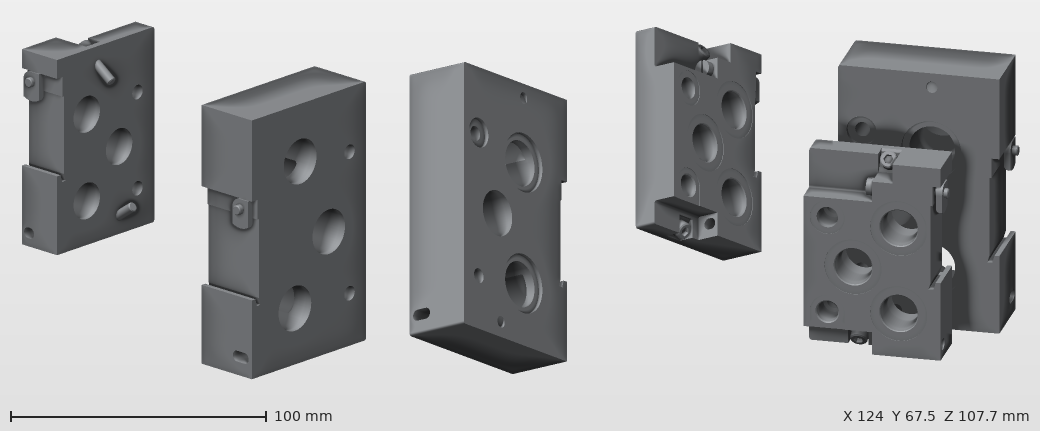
import cadquery as cq
import math

TOP_Z = 107.0
SMALL_WIDTH = 19.0
SMALL_DEPTH = 55.2
SMALL_BOTTOM_Z = 26.3
LARGE_WIDTH = 27.0
LARGE_DEPTH = 64.9
LARGE_X = 124 - LARGE_WIDTH
BACK_FILLET = 1.0

SMALL_GROOVE_TOP_Z = 99.2
LARGE_GROOVE_TOP_Z = 73.4
SHELF_HEIGHT = 8.2
LIP_HEIGHT = 32.6
UNDERCUT_HEIGHT = 3.0
SHELF_DEPTH = 3.2
GROOVE_DEPTH = 4.0
LIP_THICKNESS = 2.0
UNDERCUT = 0.9

SLOT_HEIGHT = 4.5
SMALL_SLOT_X = (1.2, 6.6)
SMALL_SLOT_Z = 31.9
LARGE_SLOT_X = (113.8, 122.3)
LARGE_SLOT_Z = 7.7

PORT_Z = 62.43
SMALL_PORT_PITCH = 35.8
SMALL_PORT_Y = 16.9
SMALL_MIDDLE_PORT_Y = 35.2
SMALL_PORT_DIAMETER = 15.0
SMALL_PORT_CHAMFER = 0.4
SMALL_RING_DIAMETER = 23.0
SMALL_RING_DEPTH = 0.2
PILOT_Y = 45.6
PILOT_PITCH = 39.8
PILOT_DIAMETER = 8.5
PILOT_END_DIAMETER = 6.0
PILOT_CONE_START = 11.2
PILOT_CONE_LENGTH = 0.7
PILOT_RING_DIAMETER = 14.0
PILOT_CHAMFER = 0.5
STEP_Y = 27.5
STEP_DEPTH = 9.5
UPPER_STEP_Z = 90.5
LOWER_STEP_Z = 35.7
STEP_FILLET = 0.9

SCREW_ANGLE = math.radians(35)
SCREW_HEAD_DIAMETER = 7.0
SCREW_HEAD_LENGTH = 4.0
SCREW_HEAD_CHAMFER = 0.5
SCREW_DIAMETER = 4.0
SCREW_LENGTH = 20.0
SCREW_TIP_CHAMFER = 0.4
SCREW_FACE_X = 9.9
SCREW_FACE_INSET = 1.9
SOCKET_WIDTH = 4.0
SOCKET_DEPTH = 2.0
UPPER_SCREW_Y = 23.4
LOWER_SCREW_Y = 35.5
SCREW_MIRROR_Z = 66.5
RECESS_WIDTH = 8.2
RECESS_HEIGHT = 7.9

LARGE_PORT_Y = 27.4
LARGE_MIDDLE_PORT_Y = 43.6
LARGE_PORT_DIAMETER = 18.5
LARGE_PORT_DEPTH = 17.9
LARGE_PORT_FILLET = 1.7
LARGE_RING_DIAMETER = 24.0
LARGE_RING_DEPTH = 1.7
UPPER_PORT_Z = 74.8
MIDDLE_PORT_Z = 50.1
LOWER_PORT_Z = 25.3
REAR_PORT_DIAMETER = 18.6
REAR_PORT_DEPTH = 21.3
UPPER_REAR_PORT = (27.4, 83.2)
LOWER_REAR_PORT = (24.4, 23.2)
FIXING_Y = 55.4
FIXING_DIAMETER = 6.0
UPPER_FIXING_Z = 80.2
LOWER_FIXING_Z = 21.7
FIXING_RING_DIAMETER = 12.0
TIP_SOCKET_DIAMETER = 4.5
TIP_SOCKET_DEPTH = 0.9
TIP_SOCKET_ANGLE = math.radians(20)
UPPER_TIP_Y = 27.2
UPPER_TIP_Z = 101.2
LOWER_TIP_Y = 41.4
LOWER_TIP_Z = 6.2

CLIP_WIDTH = 8.3
CLIP_TOP_GAP = 0.2
CLIP_HEIGHT = 12.0
CLIP_BULGE = 1.1
CLIP_CORNER = 3.7
CLIP_FRONT_Y = -0.4
CLIP_BACK_Y = 2.2
CLIP_BACK_CHAMFER = 0.9
CLIP_SCREW_DROP = 4.1
CLIP_SCREW_DIAMETER = 4.0
CLIP_SCREW_TIP_CHAMFER = 0.4
CLIP_SCREW_HEAD_DIAMETER = 7.0
CLIP_SCREW_HEAD_LENGTH = 3.1
CLIP_SCREW_SLOT_WIDTH = 1.0
CLIP_SCREW_SLOT_DEPTH = 1.9
SMALL_CLIP_X = 5.3
SMALL_CLIP_SCREW_TIP_Y = -2.1
LARGE_CLIP_X = 118.0
LARGE_CLIP_SCREW_TIP_Y = -2.6
LARGE_CLIP_SCREW_END_Y = 12.4


def x_bore(x, y, z, diameter, depth):
    """Cylinder running toward +X from the given centre point."""
    return cq.Workplane("YZ", origin=(x, y, z)).circle(diameter / 2).extrude(depth)


def x_cone(x, y, z, start_diameter, end_diameter, length):
    """Cone running toward +X from the given centre point."""
    solid = cq.Solid.makeCone(
        start_diameter / 2, end_diameter / 2, length, cq.Vector(x, y, z), cq.Vector(1, 0, 0)
    )
    return cq.Workplane(solid)


def y_bore(x, y, z, diameter, depth):
    """Cylinder running toward +Y from the given centre point."""
    return cq.Workplane("XZ", origin=(x, y, z)).circle(diameter / 2).extrude(-depth)


def front_groove(x, width, bottom_z, top_z):
    """Stepped label groove across the front face, undercut behind a lip at its lower end."""
    step_z = top_z - SHELF_HEIGHT
    lip_z = bottom_z + LIP_HEIGHT
    groove_bottom_z = lip_z - UNDERCUT_HEIGHT
    points = [
        (0, top_z),
        (SHELF_DEPTH, top_z),
        (SHELF_DEPTH, step_z),
        (GROOVE_DEPTH, step_z),
        (GROOVE_DEPTH, lip_z),
        (GROOVE_DEPTH + UNDERCUT, groove_bottom_z),
        (LIP_THICKNESS + UNDERCUT, groove_bottom_z),
        (LIP_THICKNESS, lip_z),
        (0, lip_z),
    ]
    return cq.Workplane("YZ", origin=(x, 0, 0)).polyline(points).close().extrude(width)


def front_slot(x_ends, z, depth):
    """Round-ended slot through the block along Y."""
    x_start, x_end = x_ends
    centre_x = (x_start + x_end) / 2
    profile = cq.Workplane("XZ", origin=(centre_x, 0, z)).slot2D(x_end - x_start, SLOT_HEIGHT)
    return profile.extrude(-depth)


def plain_block(x, bottom_z, width, depth):
    """Rectangular block with its two long back edges rounded."""
    block = cq.Workplane("XY", origin=(x, 0, bottom_z)).box(
        width, depth, TOP_Z - bottom_z, centered=False
    )
    return block.faces(">Y").edges("|X").fillet(BACK_FILLET)


def mirror_lower(body):
    """Reflects an upper screw shape to the lower end of the small block."""
    return body.mirror("XY", (0, 0, SCREW_MIRROR_Z))


def screw_plane(y):
    """Plane on the outer face of the upper screw head, its normal pointing to the tip."""
    return cq.Plane(
        origin=(SCREW_FACE_X, y, TOP_Z - SCREW_FACE_INSET),
        xDir=(0, 1, 0),
        normal=(math.cos(SCREW_ANGLE), 0, -math.sin(SCREW_ANGLE)),
    )


def captive_screw(y):
    """Inclined socket-head screw in its upper position."""
    plane = screw_plane(y)
    head = (
        cq.Workplane(plane)
        .circle(SCREW_HEAD_DIAMETER / 2)
        .extrude(SCREW_HEAD_LENGTH)
        .faces(cq.selectors.DirectionMinMaxSelector(plane.zDir, False))
        .chamfer(SCREW_HEAD_CHAMFER)
    )
    shank = (
        cq.Workplane(plane)
        .circle(SCREW_DIAMETER / 2)
        .extrude(SCREW_LENGTH)
        .faces(cq.selectors.DirectionMinMaxSelector(plane.zDir, True))
        .chamfer(SCREW_TIP_CHAMFER)
    )
    socket = cq.Workplane(plane).polygon(6, SOCKET_WIDTH).extrude(SOCKET_DEPTH)
    return head.union(shank).cut(socket)


def captive_screw_recess(y):
    """Recess for the upper screw: level floor, inclined seat under the head, and the shank hole."""
    seat_x = SCREW_FACE_X + SCREW_HEAD_LENGTH * math.cos(SCREW_ANGLE)
    seat_z = TOP_Z - SCREW_FACE_INSET - SCREW_HEAD_LENGTH * math.sin(SCREW_ANGLE)
    floor_z = TOP_Z - RECESS_HEIGHT
    slope = math.tan(SCREW_ANGLE)
    points = [
        (0, floor_z),
        (seat_x + (floor_z - seat_z) * slope, floor_z),
        (seat_x + (TOP_Z - seat_z) * slope, TOP_Z),
        (0, TOP_Z),
    ]
    pocket = (
        cq.Workplane("XZ", origin=(0, y + RECESS_WIDTH / 2, 0))
        .polyline(points)
        .close()
        .extrude(RECESS_WIDTH)
    )
    hole = cq.Workplane(screw_plane(y)).circle(SCREW_DIAMETER / 2).extrude(2 * SCREW_LENGTH)
    return pocket.union(hole)


def step_cut(z_start, z_end, root_edge):
    """Corner cut in the -X face, with a fillet where its wall meets its floor."""
    return (
        cq.Workplane("XY", origin=(0, STEP_Y, z_start))
        .box(STEP_DEPTH, SMALL_DEPTH - STEP_Y, z_end - z_start, centered=False)
        .edges(root_edge)
        .fillet(STEP_FILLET)
    )


def small_port(y, z):
    """Through port with a chamfered mouth and a shallow seal ring."""
    bore = x_bore(0, y, z, SMALL_PORT_DIAMETER, SMALL_WIDTH)
    ring = x_bore(0, y, z, SMALL_RING_DIAMETER, SMALL_RING_DEPTH)
    mouth_diameter = SMALL_PORT_DIAMETER + 2 * SMALL_PORT_CHAMFER
    mouth = x_cone(SMALL_RING_DEPTH, y, z, mouth_diameter, SMALL_PORT_DIAMETER, SMALL_PORT_CHAMFER)
    return bore.union(ring).union(mouth)


def pilot_hole(z):
    """Through hole that narrows by a cone, with a shallow seal ring."""
    cone_end = PILOT_CONE_START + PILOT_CONE_LENGTH
    entry = x_bore(0, PILOT_Y, z, PILOT_DIAMETER, PILOT_CONE_START)
    cone = x_cone(PILOT_CONE_START, PILOT_Y, z, PILOT_DIAMETER, PILOT_END_DIAMETER, PILOT_CONE_LENGTH)
    end = x_bore(cone_end, PILOT_Y, z, PILOT_END_DIAMETER, SMALL_WIDTH - cone_end)
    ring = x_bore(0, PILOT_Y, z, PILOT_RING_DIAMETER, SMALL_RING_DEPTH)
    return entry.union(cone).union(end).union(ring)


def lower_pilot_relief(z):
    """Chamfered mouth of the lower pilot hole, and its seal ring continued down to the lower step."""
    mouth_diameter = PILOT_DIAMETER + 2 * PILOT_CHAMFER
    mouth = x_cone(SMALL_RING_DEPTH, PILOT_Y, z, mouth_diameter, PILOT_DIAMETER, PILOT_CHAMFER)
    channel = cq.Workplane("XY", origin=(0, PILOT_Y - PILOT_RING_DIAMETER / 2, SMALL_BOTTOM_Z)).box(
        SMALL_RING_DEPTH, PILOT_RING_DIAMETER, z - SMALL_BOTTOM_Z, centered=False
    )
    return mouth.union(channel)


def clip_screw_z(groove_top_z):
    """Height of the clip screw axis below the top of the groove."""
    return groove_top_z - CLIP_TOP_GAP - CLIP_SCREW_DROP


def make_small_block():
    clip_z = clip_screw_z(SMALL_GROOVE_TOP_Z)
    upper_pilot_z = PORT_Z + PILOT_PITCH / 2
    lower_pilot_z = PORT_Z - PILOT_PITCH / 2
    cuts = [
        step_cut(UPPER_STEP_Z, TOP_Z, ">X and <Z"),
        step_cut(SMALL_BOTTOM_Z, LOWER_STEP_Z, ">X and >Z"),
        front_groove(0, SMALL_WIDTH, SMALL_BOTTOM_Z, SMALL_GROOVE_TOP_Z),
        front_slot(SMALL_SLOT_X, SMALL_SLOT_Z, SMALL_DEPTH),
        small_port(SMALL_PORT_Y, PORT_Z + SMALL_PORT_PITCH / 2),
        small_port(SMALL_MIDDLE_PORT_Y, PORT_Z),
        small_port(SMALL_PORT_Y, PORT_Z - SMALL_PORT_PITCH / 2),
        pilot_hole(upper_pilot_z),
        pilot_hole(lower_pilot_z),
        lower_pilot_relief(lower_pilot_z),
        captive_screw_recess(UPPER_SCREW_Y),
        mirror_lower(captive_screw_recess(LOWER_SCREW_Y)),
        y_bore(SMALL_CLIP_X, 0, clip_z, CLIP_SCREW_DIAMETER, STEP_Y),
    ]
    block = plain_block(0, SMALL_BOTTOM_Z, SMALL_WIDTH, SMALL_DEPTH)
    for cut in cuts:
        block = block.cut(cut)
    return block


def blind_port(z):
    """Blind port with a rounded bottom edge and a seal ring."""
    bore = x_bore(LARGE_X, LARGE_PORT_Y, z, LARGE_PORT_DIAMETER, LARGE_PORT_DEPTH)
    bore = bore.faces(">X").edges().fillet(LARGE_PORT_FILLET)
    ring = x_bore(LARGE_X, LARGE_PORT_Y, z, LARGE_RING_DIAMETER, LARGE_RING_DEPTH)
    return bore.union(ring)


def rear_port(centre):
    """Flat-bottomed port from the +X face, offset so that it breaks into a blind port."""
    y, z = centre
    return x_bore(LARGE_X + LARGE_WIDTH - REAR_PORT_DEPTH, y, z, REAR_PORT_DIAMETER, REAR_PORT_DEPTH)


def tip_socket(y, z, rise):
    """Shallow inclined socket in the -X face; rise is +1 to slope upward and -1 downward."""
    plane = cq.Plane(
        origin=(LARGE_X, y, z),
        xDir=(0, 1, 0),
        normal=(math.cos(TIP_SOCKET_ANGLE), 0, rise * math.sin(TIP_SOCKET_ANGLE)),
    )
    return cq.Workplane(plane).circle(TIP_SOCKET_DIAMETER / 2).extrude(TIP_SOCKET_DEPTH, both=True)


def make_large_block():
    clip_z = clip_screw_z(LARGE_GROOVE_TOP_Z)
    cuts = [
        front_groove(LARGE_X, LARGE_WIDTH, 0, LARGE_GROOVE_TOP_Z),
        front_slot(LARGE_SLOT_X, LARGE_SLOT_Z, LARGE_DEPTH),
        blind_port(UPPER_PORT_Z),
        blind_port(LOWER_PORT_Z),
        rear_port(UPPER_REAR_PORT),
        rear_port(LOWER_REAR_PORT),
        x_bore(LARGE_X, LARGE_MIDDLE_PORT_Y, MIDDLE_PORT_Z, LARGE_PORT_DIAMETER, LARGE_WIDTH),
        x_bore(LARGE_X, FIXING_Y, UPPER_FIXING_Z, FIXING_DIAMETER, LARGE_WIDTH),
        x_bore(LARGE_X, FIXING_Y, LOWER_FIXING_Z, FIXING_DIAMETER, LARGE_WIDTH),
        x_bore(LARGE_X, FIXING_Y, UPPER_FIXING_Z, FIXING_RING_DIAMETER, LARGE_RING_DEPTH),
        tip_socket(UPPER_TIP_Y, UPPER_TIP_Z, -1),
        tip_socket(LOWER_TIP_Y, LOWER_TIP_Z, 1),
        y_bore(LARGE_CLIP_X, 0, clip_z, CLIP_SCREW_DIAMETER, LARGE_CLIP_SCREW_END_Y),
    ]
    block = plain_block(LARGE_X, 0, LARGE_WIDTH, LARGE_DEPTH)
    for cut in cuts:
        block = block.cut(cut)
    return block


def make_clip(x, groove_top_z):
    """Retaining plate with one rounded top corner, a bowed lower edge and a screw hole."""
    half = CLIP_WIDTH / 2
    side_bottom = CLIP_BULGE - CLIP_HEIGHT
    thickness = CLIP_BACK_Y - CLIP_FRONT_Y
    corner_inset = CLIP_CORNER * (1 - math.sqrt(0.5))
    plate = (
        cq.Workplane("XZ", origin=(x, CLIP_FRONT_Y, groove_top_z - CLIP_TOP_GAP))
        .moveTo(half, 0)
        .lineTo(half, side_bottom)
        .threePointArc((0, -CLIP_HEIGHT), (-half, side_bottom))
        .lineTo(-half, -CLIP_CORNER)
        .threePointArc((corner_inset - half, -corner_inset), (CLIP_CORNER - half, 0))
        .close()
        .extrude(-thickness)
    )
    plate = plate.faces(">Y").edges("<Z").chamfer(CLIP_BACK_CHAMFER)
    hole = y_bore(x, CLIP_FRONT_Y, clip_screw_z(groove_top_z), CLIP_SCREW_DIAMETER, thickness)
    return plate.cut(hole)


def make_clip_screw(x, z, tip_y, end_y):
    """Straight shank along Y with a chamfered tip at the front."""
    shank = y_bore(x, tip_y, z, CLIP_SCREW_DIAMETER, end_y - tip_y)
    return shank.faces("<Y").chamfer(CLIP_SCREW_TIP_CHAMFER)


def slotted_head(x, y, z):
    """Round screw head running toward +Y, with a driver slot across its end."""
    head = y_bore(x, y, z, CLIP_SCREW_HEAD_DIAMETER, CLIP_SCREW_HEAD_LENGTH)
    slot_y = y + CLIP_SCREW_HEAD_LENGTH - CLIP_SCREW_SLOT_DEPTH / 2
    slot = cq.Workplane("XY", origin=(x, slot_y, z)).box(
        CLIP_SCREW_SLOT_WIDTH, CLIP_SCREW_SLOT_DEPTH, CLIP_SCREW_HEAD_DIAMETER
    )
    return head.cut(slot)


small_block = make_small_block()
large_block = make_large_block()
captive_screws = [
    captive_screw(UPPER_SCREW_Y),
    mirror_lower(captive_screw(LOWER_SCREW_Y)),
]

clips = []
for clip_x, groove_top_z in ((SMALL_CLIP_X, SMALL_GROOVE_TOP_Z), (LARGE_CLIP_X, LARGE_GROOVE_TOP_Z)):
    clips.append(make_clip(clip_x, groove_top_z))

small_screw_z = clip_screw_z(SMALL_GROOVE_TOP_Z)
small_clip_screw = make_clip_screw(SMALL_CLIP_X, small_screw_z, SMALL_CLIP_SCREW_TIP_Y, STEP_Y).union(
    slotted_head(SMALL_CLIP_X, STEP_Y, small_screw_z)
)
large_screw_z = clip_screw_z(LARGE_GROOVE_TOP_Z)
large_clip_screw = make_clip_screw(
    LARGE_CLIP_X, large_screw_z, LARGE_CLIP_SCREW_TIP_Y, LARGE_CLIP_SCREW_END_Y
)

bodies = [small_block, large_block, *captive_screws, *clips, small_clip_screw, large_clip_screw]
result = cq.Compound.makeCompound([body.solids().val() for body in bodies])